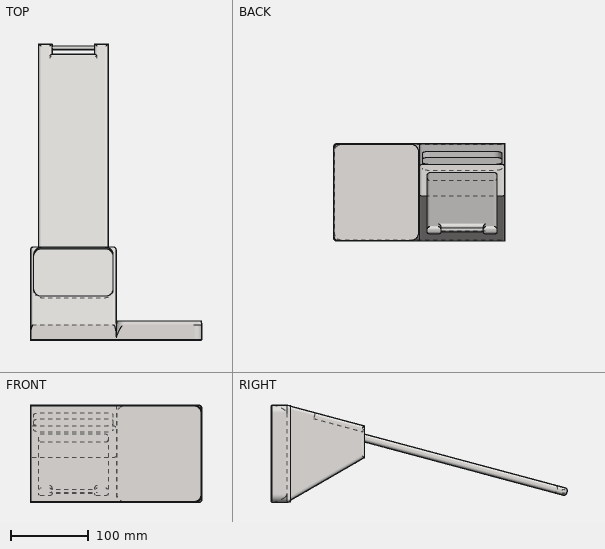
import cadquery as cq
import math

HEAD_WIDTH = 110.0
HEAD_DEPTH = 120.0
HEIGHT = 125.0
FLAT_DEPTH = 20.0
TOP_SLOPE = 15.0
BOTTOM_SLOPE = 30.0
SIDE_FILLET = 4.0

TOTAL_WIDTH = 220.0
PLATE_DEPTH = 25.0
PLATE_TAPER = 10.0
PLATE_INNER_FILLET = 10.0
PLATE_OUTER_FILLET = 4.0
FRONT_CORNER_RADIUS = 10.0
FRONT_CHAMFER = 1.2

SCREEN_WIDTH = HEAD_WIDTH - 2 * SIDE_FILLET
SCREEN_LENGTH = 65.0
SCREEN_START = 38.0
SCREEN_DEPTH = 8.0
SCREEN_RADIUS = 10.0

TOTAL_DEPTH = 380.0
ARM_WIDTH = 90.0
ARM_THICKNESS = 10.0
ARM_DROP = 10.0
ARM_FILLET = 4.0
ARM_START = 90.0
NOTCH_WIDTH = 54.0
NOTCH_DEPTH = 13.0
PIN_DIAMETER = 5.0
PIN_INSET = 4.5

SIN_TOP = math.sin(math.radians(TOP_SLOPE))
COS_TOP = math.cos(math.radians(TOP_SLOPE))
TAN_TOP = math.tan(math.radians(TOP_SLOPE))
TAN_BOTTOM = math.tan(math.radians(BOTTOM_SLOPE))
TAN_TAPER = math.tan(math.radians(PLATE_TAPER))
HEAD_CENTER_X = HEAD_WIDTH / 2

rounding_depth = ARM_DROP + ARM_FILLET
ARM_END = (
    (TOTAL_DEPTH - FLAT_DEPTH - ARM_FILLET + rounding_depth * SIN_TOP) / COS_TOP + ARM_FILLET
)


def slope_plane(depth=0.0):
    """Plane parallel to the sloped top, lying depth below it; local y runs down the slope."""
    origin = (HEAD_CENTER_X, FLAT_DEPTH - depth * SIN_TOP, HEIGHT - depth * COS_TOP)
    return cq.Plane(origin=origin, xDir=(1, 0, 0), normal=(0, SIN_TOP, COS_TOP))


def make_head():
    slope_run = HEAD_DEPTH - FLAT_DEPTH
    profile = [
        (0, -FLAT_DEPTH * TAN_BOTTOM),
        (HEAD_DEPTH, slope_run * TAN_BOTTOM),
        (HEAD_DEPTH, HEIGHT - slope_run * TAN_TOP),
        (0, HEIGHT + FLAT_DEPTH * TAN_TOP),
    ]
    head = cq.Workplane("YZ").polyline(profile).close().extrude(HEAD_WIDTH)
    for side in ("<X", ">X"):
        head = head.faces(side).edges("not <Y").fillet(SIDE_FILLET)
    return head


def end_edges(plate, end):
    """Upper and lower edges of one end of the plate."""
    return plate.faces(end).edges("<Z or >Z")


def make_plate():
    margin = FLAT_DEPTH * TAN_TAPER
    width = TOTAL_WIDTH - HEAD_WIDTH
    plate = (
        cq.Workplane("ZX")
        .center(HEIGHT / 2, HEAD_WIDTH + width / 2)
        .rect(HEIGHT + 2 * margin, width + 2 * margin)
        .extrude(PLATE_DEPTH, taper=PLATE_TAPER)
    )
    plate = end_edges(plate, "<X").fillet(PLATE_INNER_FILLET)
    return end_edges(plate, ">X").fillet(PLATE_OUTER_FILLET)


def make_envelope():
    """Space that the head and plate are trimmed to."""
    front = cq.Workplane("XY").box(TOTAL_WIDTH, FLAT_DEPTH, HEIGHT, centered=False)
    front = front.edges("|Y and >X").fillet(FRONT_CORNER_RADIUS)
    front = front.faces("<Y").edges("not <X").chamfer(FRONT_CHAMFER)
    rear = cq.Workplane("XY", origin=(0, FLAT_DEPTH, 0)).box(
        TOTAL_WIDTH, HEAD_DEPTH - FLAT_DEPTH, HEIGHT, centered=False
    )
    return front.union(rear)


def make_screen_pocket():
    pocket = (
        cq.Workplane(slope_plane(SCREEN_DEPTH))
        .center(0, SCREEN_START + SCREEN_LENGTH / 2)
        .rect(SCREEN_WIDTH, SCREEN_LENGTH)
        .extrude(2 * SCREEN_DEPTH)
    )
    return pocket.edges(cq.selectors.ParallelDirSelector(slope_plane().zDir)).fillet(SCREEN_RADIUS)


def make_arm():
    half_width = ARM_WIDTH / 2
    half_notch = NOTCH_WIDTH / 2
    notch_floor = ARM_END - NOTCH_DEPTH
    outline = [
        (-half_width, ARM_START),
        (half_width, ARM_START),
        (half_width, ARM_END),
        (half_notch, ARM_END),
        (half_notch, notch_floor),
        (-half_notch, notch_floor),
        (-half_notch, ARM_END),
        (-half_width, ARM_END),
    ]
    arm = (
        cq.Workplane(slope_plane(ARM_DROP + ARM_THICKNESS))
        .polyline(outline)
        .close()
        .extrude(ARM_THICKNESS)
    )
    facing_out = cq.selectors.ParallelDirSelector(slope_plane().zDir)
    return arm.faces(facing_out).edges().fillet(ARM_FILLET).union(make_pin())


def make_pin():
    axis_plane = slope_plane(ARM_DROP + ARM_THICKNESS / 2)
    center = axis_plane.toWorldCoords((0, ARM_END - PIN_INSET))
    length = NOTCH_WIDTH + 2 * ARM_FILLET
    start = (center.x - length / 2, center.y, center.z)
    return cq.Workplane("YZ", origin=start).circle(PIN_DIAMETER / 2).extrude(length)


result = (
    make_head()
    .union(make_plate())
    .intersect(make_envelope())
    .cut(make_screen_pocket())
    .union(make_arm())
)